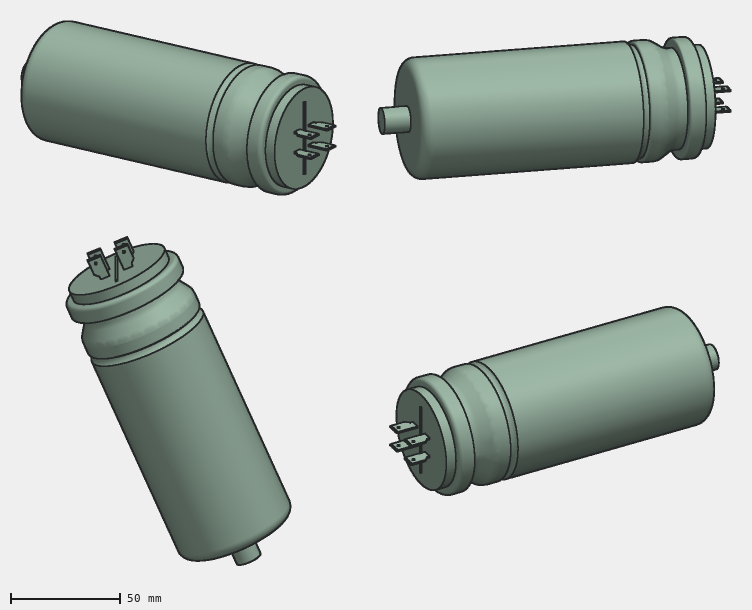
import cadquery as cq
import math

overall_length = 163
stud_length = 12.4
groove_start = 104.5
bead_start = 107.9
neck_curve_start = 113.8
neck_curve_end = 124.2
rim_start = 126.7
rim_end = 134.6
cover_end = 139.7
tab_end = overall_length - stud_length

stud_radius = 6.0
can_radius = 28.0
groove_radius = 26.2
neck_radius = 23.5
cover_radius = 24.0
bottom_round = 5.0
edge_round = 1.0
rim_outer_round = 2.0

barrier_length = 35.0
barrier_thickness = 1.0
barrier_height = 0.7

tab_inner_y = 3.6
tab_outer_y = 10.0
tab_root_y = 8.0
tab_taper_start = 141.0
tab_taper_end = 143.0
tab_thickness = 0.8
tab_offset_z = 4.9
tab_tip_chamfer_length = 0.7
tab_tip_chamfer_depth = 0.25
tab_hole_diameter = 1.1
tab_hole_x = 147.7
tab_hole_y = 7.0
cover_embed = 1.6


def rounded_corner(path, corner_x, outer_radius, round_radius, direction):
    """Add a quarter round between a radial face and a cylinder, rising (+1) or falling (-1)."""
    leg = round_radius * math.sqrt(0.5)
    if direction > 0:
        center_x = corner_x + round_radius
        end = (center_x, outer_radius)
    else:
        center_x = corner_x - round_radius
        end = (corner_x, outer_radius - round_radius)
    middle = (center_x - direction * leg, outer_radius - round_radius + leg)
    return path.threePointArc(middle, end)


def make_body():
    """Turn the stud, can, groove, necked section, rim and cover as one revolved profile."""
    path = (
        cq.Workplane("XY")
        .moveTo(-stud_length, 0)
        .lineTo(-stud_length, stud_radius)
        .lineTo(0, stud_radius)
        .lineTo(0, can_radius - bottom_round)
    )
    path = rounded_corner(path, 0, can_radius, bottom_round, 1)

    groove_run = bead_start - groove_start
    groove_drop = can_radius - groove_radius
    groove_arc_radius = (groove_run**2 + groove_drop**2) / (2 * groove_drop)
    half_turn = math.asin(groove_run / groove_arc_radius) / 2
    groove_middle = (
        bead_start - groove_arc_radius * math.sin(half_turn),
        groove_radius + groove_arc_radius * (1 - math.cos(half_turn)),
    )
    path = (
        path.lineTo(groove_start, can_radius)
        .threePointArc(groove_middle, (bead_start, groove_radius))
        .lineTo(bead_start, can_radius - edge_round)
    )
    path = rounded_corner(path, bead_start, can_radius, edge_round, 1)

    neck_middle = ((neck_curve_start + neck_curve_end) / 2, (can_radius + neck_radius) / 2)
    neck_points = [neck_middle, (neck_curve_end, neck_radius), (rim_start, neck_radius)]
    path = (
        path.lineTo(neck_curve_start, can_radius)
        .spline(neck_points, tangents=[(1, 0), (1, 0)], includeCurrent=True)
        .lineTo(rim_start, can_radius - edge_round)
    )
    path = rounded_corner(path, rim_start, can_radius, edge_round, 1)
    path = path.lineTo(rim_end - rim_outer_round, can_radius)
    path = rounded_corner(path, rim_end, can_radius, rim_outer_round, -1)

    path = (
        path.lineTo(rim_end, cover_radius)
        .lineTo(cover_end, cover_radius)
        .lineTo(cover_end, 0)
        .close()
    )
    return path.revolve(360, (0, 0, 0), (1, 0, 0))


def make_barrier():
    """Upright barrier wall across the cover face."""
    wall = cq.Workplane("XY").box(
        cover_embed + barrier_height,
        barrier_thickness,
        barrier_length,
        centered=(False, True, True),
    )
    return wall.translate((cover_end - cover_embed, 0, 0))


def make_tab():
    """One tab on the +Y side, centred on Z = 0, with a thinned tip and a latch hole."""
    half = tab_thickness / 2
    outline = [
        (cover_end - cover_embed, tab_inner_y),
        (tab_end, tab_inner_y),
        (tab_end, tab_outer_y),
        (tab_taper_end, tab_outer_y),
        (tab_taper_start, tab_root_y),
        (cover_end - cover_embed, tab_root_y),
    ]
    blade = cq.Workplane("XY").polyline(outline).close().extrude(half, both=True)

    tip_profile = [
        (cover_end - cover_embed, -half),
        (tab_end - tab_tip_chamfer_length, -half),
        (tab_end, tab_tip_chamfer_depth - half),
        (tab_end, half - tab_tip_chamfer_depth),
        (tab_end - tab_tip_chamfer_length, half),
        (cover_end - cover_embed, half),
    ]
    envelope = cq.Workplane("XZ").polyline(tip_profile).close().extrude(-tab_outer_y)

    hole = (
        cq.Workplane("XY")
        .center(tab_hole_x, tab_hole_y)
        .circle(tab_hole_diameter / 2)
        .extrude(tab_thickness, both=True)
    )
    return blade.intersect(envelope).cut(hole)


result = make_body().union(make_barrier())

tab = make_tab()
for pole_tab in (tab, tab.mirror("XZ")):
    for z in (-tab_offset_z, tab_offset_z):
        result = result.union(pole_tab.translate((0, 0, z)))